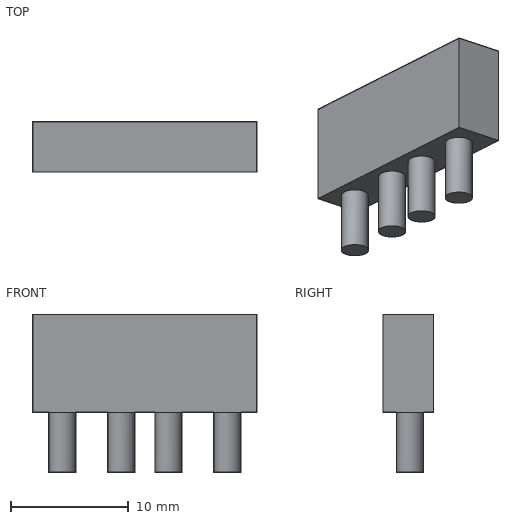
import cadquery as cq

housing_length = 19.0
housing_depth = 4.3
housing_height = 8.3

total_height = 13.4
pin_diameter = 2.3
pin_length = total_height - housing_height
inner_pin_offset = 2.0
outer_pin_offset = 7.0
pin_row_y = 0.15
pin_positions_x = [-outer_pin_offset, -inner_pin_offset, inner_pin_offset, outer_pin_offset]


def make_housing():
    """Plain block with its underside at Z = 0."""
    return cq.Workplane("XY").box(
        housing_length, housing_depth, housing_height, centered=(True, True, False)
    )


def make_pin(x):
    """Straight pin hanging from the underside of the housing."""
    return cq.Workplane("XY").center(x, pin_row_y).circle(pin_diameter / 2).extrude(-pin_length)


housing = make_housing()
pins = [make_pin(x).val() for x in pin_positions_x]

result = cq.Compound.makeCompound([housing.val(), *pins])